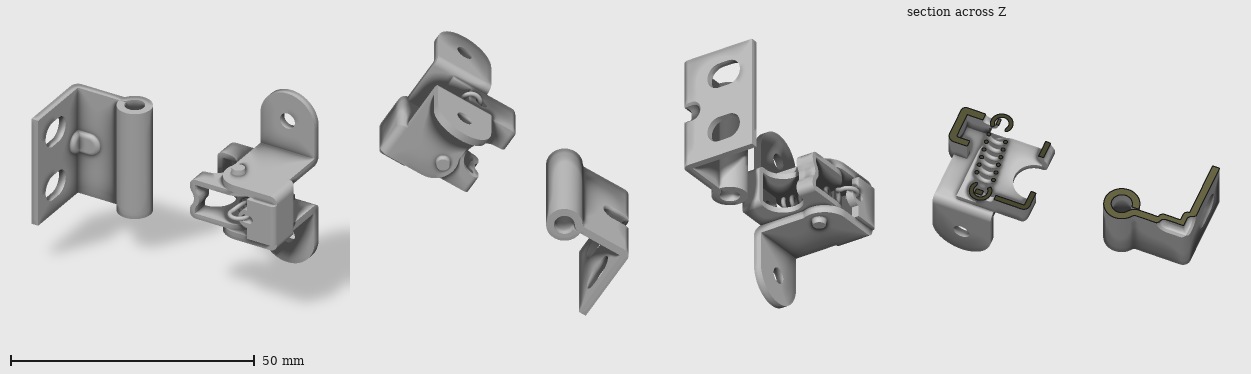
import cadquery as cq
import math


STRIKE_HEIGHT = 24.9
STRIKE_THICK = 1.65
STRIKE_DEPTH = 17.45
STRIKE_INNER_RADIUS = 0.15
EYE_X = 15.3
EYE_Y = 15.8
EYE_RADIUS = 3.75
EYE_BORE_RADIUS = EYE_RADIUS - STRIKE_THICK
EYE_BEND_RADIUS = 1.0
SLOT_LENGTH = 8.0
SLOT_WIDTH = 5.7
SLOT_Y = 7.0
SLOT_Z = 6.35
BEAD_SIDE_Y = 14.95
BEAD_BACK_X = 4.65
BEAD_RADIUS = 2.5
BEAD_HEIGHT = 1.05
BEAD_ROUND = 1.0
DIMPLE_RADIUS = 1.75
DIMPLE_DEPTH = 1.5
DIMPLE_ROUND = 1.0
DIMPLE_CHAMFER = 0.5

BRACKET_THICK = 1.7
EAR_LEFT = 39.95
EAR_WIDTH = 12.95
EAR_RIGHT = EAR_LEFT + EAR_WIDTH
EAR_X = EAR_LEFT + EAR_WIDTH / 2
EAR_TOP = 40.0 / 2
EAR_HOLE_Z = 13.5
EAR_HOLE_DIAMETER = 3.55
EAR_BACK = 26.5
EAR_FRONT = EAR_BACK - BRACKET_THICK
EAR_INNER_RADIUS = 0.1
SIDE_INNER_Z = 4.7
SIDE_OUTER_Z = SIDE_INNER_Z + BRACKET_THICK
SIDE_FRONT = 7.05
LOBE_X = 44.45
LOBE_RADIUS = 4.95
END_RIGHT = 54.6
END_INNER_X = END_RIGHT - BRACKET_THICK
END_BACK = 14.9
END_FOLD_RADIUS = 1.65
LIP_LEFT = 49.95
LIP_THICK = 1.55
FLAP_FRONT = 6.0
FLAP_BACK = FLAP_FRONT + BRACKET_THICK
FLAP_FOLD_RADIUS = 1.05
FLAP_LEFT = 48.05
FLAP_HALF_HEIGHT = 4.65
TONGUE_RADIUS = 2.1
TONGUE_SLOT_LENGTH = 2.8
TONGUE_SLOT_WIDTH = 1.85

PIVOT_X = 42.4
PIVOT_Y = 11.95

CLAW_THICK = 1.2
CLAW_HALF_HEIGHT = 4.6
CLAW_INNER_Z = CLAW_HALF_HEIGHT - CLAW_THICK
CLAW_LEFT = 32.5
CLAW_BACK = 24.9
CLAW_FRONT = 7.55
CLAW_HEEL_RADIUS = 5.8
CLAW_RIGHT = PIVOT_X + CLAW_HEEL_RADIUS
CLAW_FOLD_RADIUS = 1.35
THROAT_RADIUS = 4.25
THROAT_X = 34.8
THROAT_Y = EYE_Y
LIP_WALL_LEFT = 33.45
LIP_WALL_DENT = 0.75
LIP_WALL_STRAIGHT_Z = 2.85
LIP_FOLD_RADIUS = 1.3
BACK_WALL_RIGHT = 43.85
BACK_WALL_BULGE = 0.5
HOOK_HOLE_X = 41.35
HOOK_HOLE_DIAMETER = 2.7

RIVET_HEAD_DIAMETER = 4.1
RIVET_SHANK_DIAMETER = 3.15
RIVET_TIP_DIAMETER = 2.7
RIVET_TIP_Z = 7.65

WIRE_DIAMETER = 0.95
COIL_RADIUS = 1.9
SPRING_REAR = (43.3, 23.9)
SPRING_FRONT = (45.6, 6.95)
COIL_SETBACK = 3.0
COIL_TURNS = 5.75
POINTS_PER_TURN = 12
LOOP_START = 200
LOOP_END = -40
LOOP_STEP = 20


def block(x0, x1, y0, y1, z0, z1):
    """Box between the given limits."""
    return cq.Workplane().box(x1 - x0, y1 - y0, z1 - z0, centered=False).translate((x0, y0, z0))


def upright(radius, x, y, height):
    """Cylinder along Z, centred on the plane of symmetry."""
    return cq.Workplane().center(x, y).circle(radius).extrude(height / 2, both=True)


def bead_planes(inset):
    """Planes on both legs of the bend, `inset` inside the outer faces, with the reach to the corner.

    Each origin is the centre of the bead's round end, x points away from the corner, z inward.
    """
    on_side = cq.Plane((inset, BEAD_SIDE_Y, 0), xDir=(0, -1, 0), normal=(1, 0, 0))
    on_back = cq.Plane((BEAD_BACK_X, STRIKE_DEPTH - inset, 0), xDir=(1, 0, 0), normal=(0, -1, 0))
    return [(on_side, STRIKE_DEPTH - BEAD_SIDE_Y), (on_back, BEAD_BACK_X)]


def bead(plane, reach, radius, height, edge_round):
    """Round-ended bead from its plane inward, with a rounded rim; it runs past the corner."""
    return (
        cq.Workplane(plane)
        .center(-reach / 2, 0)
        .slot2D(reach + 2 * radius, 2 * radius)
        .extrude(height)
        .faces(cq.selectors.DirectionMinMaxSelector(plane.zDir, True))
        .edges()
        .fillet(edge_round)
    )


def dimple_mouth(plane, reach):
    """Chamfer cutter around the opening of a dimple."""
    radius = DIMPLE_RADIUS + DIMPLE_CHAMFER
    return (
        cq.Workplane(plane)
        .center(-reach / 2, 0)
        .slot2D(reach + 2 * radius, 2 * radius)
        .extrude(DIMPLE_CHAMFER, taper=45)
    )


def make_strike_sheet():
    """Bent sheet with a rolled eye; a reverse bend leads from the plate into the eye."""
    inner_y = STRIKE_DEPTH - STRIKE_THICK
    bend_y = STRIKE_DEPTH + EYE_BEND_RADIUS
    center_distance = EYE_RADIUS + EYE_BEND_RADIUS
    lead_angle = math.asin((bend_y - EYE_Y) / center_distance)
    bend_x = EYE_X - center_distance * math.cos(lead_angle)
    bend_outer = EYE_BEND_RADIUS + STRIKE_THICK

    def on_eye(radius):
        return (EYE_X - radius * math.cos(lead_angle), EYE_Y + radius * math.sin(lead_angle))

    def mid_bend(radius):
        half_turn = (math.pi / 2 - lead_angle) / 2
        return (bend_x + radius * math.sin(half_turn), bend_y - radius * math.cos(half_turn))

    sheet = (
        cq.Workplane()
        .moveTo(0, 0)
        .lineTo(0, STRIKE_DEPTH)
        .lineTo(bend_x, STRIKE_DEPTH)
        .threePointArc(mid_bend(EYE_BEND_RADIUS), on_eye(EYE_RADIUS))
        .threePointArc((EYE_X + EYE_RADIUS, EYE_Y), (EYE_X - EYE_RADIUS, EYE_Y))
        .lineTo(EYE_X - EYE_BORE_RADIUS, EYE_Y)
        .threePointArc((EYE_X + EYE_BORE_RADIUS, EYE_Y), on_eye(EYE_BORE_RADIUS))
        .threePointArc(mid_bend(bend_outer), (bend_x, inner_y))
        .lineTo(STRIKE_THICK, inner_y)
        .lineTo(STRIKE_THICK, 0)
        .close()
        .extrude(STRIKE_HEIGHT / 2, both=True)
    )
    outer_corner = cq.selectors.NearestToPointSelector((0, STRIKE_DEPTH, 0))
    sheet = sheet.edges("|Z").edges(outer_corner).fillet(STRIKE_THICK)
    inner_corner = cq.selectors.NearestToPointSelector((STRIKE_THICK, inner_y, 0))
    return sheet.edges("|Z").edges(inner_corner).fillet(STRIKE_INNER_RADIUS)


def make_strike():
    strike = make_strike_sheet()
    slots = (
        cq.Workplane("YZ")
        .pushPoints([(SLOT_Y, -SLOT_Z), (SLOT_Y, SLOT_Z)])
        .slot2D(SLOT_LENGTH, SLOT_WIDTH)
        .extrude(STRIKE_THICK)
    )
    strike = strike.cut(slots)

    half = STRIKE_HEIGHT / 2
    middle = STRIKE_THICK / 2
    inside = block(middle, EYE_X, 0, STRIKE_DEPTH - middle, -half, half)
    for plane, reach in bead_planes(STRIKE_THICK):
        strike = strike.union(bead(plane, reach, BEAD_RADIUS, BEAD_HEIGHT, BEAD_ROUND).intersect(inside))
    for plane, reach in bead_planes(0):
        strike = strike.cut(bead(plane, reach, DIMPLE_RADIUS, DIMPLE_DEPTH, DIMPLE_ROUND))
        strike = strike.cut(dimple_mouth(plane, reach))
    return strike


def make_ear():
    """Upper ear and its side plate, joined by a bend."""
    corner_z = EAR_TOP - EAR_WIDTH / 2
    ear = (
        cq.Workplane("XZ", origin=(0, EAR_BACK, 0))
        .moveTo(EAR_LEFT, SIDE_INNER_Z)
        .lineTo(EAR_LEFT, corner_z)
        .threePointArc((EAR_X, EAR_TOP), (EAR_RIGHT, corner_z))
        .lineTo(EAR_RIGHT, SIDE_INNER_Z)
        .close()
        .extrude(BRACKET_THICK)
    )
    hole = (
        cq.Workplane("XZ", origin=(EAR_X, EAR_BACK, EAR_HOLE_Z))
        .circle(EAR_HOLE_DIAMETER / 2)
        .extrude(BRACKET_THICK)
    )
    lobe_y = SIDE_FRONT + LOBE_RADIUS
    side = (
        block(EAR_LEFT, EAR_RIGHT, lobe_y, EAR_BACK, SIDE_INNER_Z, SIDE_OUTER_Z)
        .union(block(LOBE_X, EAR_RIGHT, SIDE_FRONT, EAR_BACK, SIDE_INNER_Z, SIDE_OUTER_Z))
        .union(
            cq.Workplane(origin=(LOBE_X, lobe_y, SIDE_INNER_Z)).circle(LOBE_RADIUS).extrude(BRACKET_THICK)
        )
    )
    bent = ear.cut(hole).union(side)
    outer_corner = cq.selectors.NearestToPointSelector((EAR_X, EAR_BACK, SIDE_INNER_Z))
    inner_corner = cq.selectors.NearestToPointSelector((EAR_X, EAR_FRONT, SIDE_OUTER_Z))
    bent = bent.edges("|X").edges(outer_corner).fillet(BRACKET_THICK)
    return bent.edges("|X").edges(inner_corner).fillet(EAR_INNER_RADIUS)


def make_folded_end():
    """Right-hand wall with its front flap, back lip and the tongue that holds the spring."""
    shell = block(LIP_LEFT, END_RIGHT, SIDE_FRONT, END_BACK, -SIDE_OUTER_Z, SIDE_OUTER_Z)
    shell = shell.edges(">X and (|Y or >Y)").fillet(END_FOLD_RADIUS)
    hollow = block(
        LIP_LEFT, END_INNER_X, SIDE_FRONT, END_BACK - LIP_THICK, -SIDE_INNER_Z, SIDE_INNER_Z
    )
    beyond_plates = block(LIP_LEFT, EAR_RIGHT, SIDE_FRONT, END_BACK, -SIDE_OUTER_Z, SIDE_OUTER_Z)
    between_plates = block(LIP_LEFT, EAR_RIGHT, SIDE_FRONT, END_BACK, -SIDE_INNER_Z, SIDE_INNER_Z)
    wall = shell.cut(hollow).cut(beyond_plates.cut(between_plates))

    flap = block(FLAP_LEFT, END_RIGHT, FLAP_FRONT, FLAP_BACK, -FLAP_HALF_HEIGHT, FLAP_HALF_HEIGHT)
    flap = flap.edges("|Z and >X and <Y").fillet(FLAP_FOLD_RADIUS)
    front = cq.Workplane("XZ", origin=(FLAP_LEFT, FLAP_BACK, 0))
    tongue = front.circle(TONGUE_RADIUS).extrude(BRACKET_THICK)
    slot = front.slot2D(TONGUE_SLOT_LENGTH, TONGUE_SLOT_WIDTH).extrude(BRACKET_THICK)
    return wall.union(flap).union(tongue).cut(slot)


def make_bracket():
    ear = make_ear()
    holes = upright(RIVET_SHANK_DIAMETER / 2, PIVOT_X, PIVOT_Y, 2 * SIDE_OUTER_Z)
    return ear.union(ear.mirror("XY")).union(make_folded_end()).cut(holes)


def right_of_wavy_wall(left, half_height):
    """Solid lying to the right of the dented end-wall surface."""
    dent = [(left + LIP_WALL_DENT, LIP_WALL_STRAIGHT_Z / 3), (left + LIP_WALL_DENT, -LIP_WALL_STRAIGHT_Z / 3)]
    return (
        cq.Workplane("XZ", origin=(0, THROAT_Y, 0))
        .moveTo(CLAW_RIGHT, half_height)
        .lineTo(left, half_height)
        .lineTo(left, LIP_WALL_STRAIGHT_Z)
        .spline(dent + [(left, -LIP_WALL_STRAIGHT_Z)], tangents=[(0, -1), (0, -1)], includeCurrent=True)
        .lineTo(left, -half_height)
        .lineTo(CLAW_RIGHT, -half_height)
        .close()
        .extrude(THROAT_Y - CLAW_FRONT)
    )


def make_claw():
    top = CLAW_HALF_HEIGHT
    upper = block(CLAW_LEFT, CLAW_RIGHT, THROAT_Y, CLAW_BACK, -top, top)
    upper = upper.faces("<X").edges("not <Y").fillet(CLAW_FOLD_RADIUS)
    upper = upper.cut(
        block(
            CLAW_LEFT + CLAW_THICK, CLAW_RIGHT, THROAT_Y, CLAW_BACK - CLAW_THICK, -CLAW_INNER_Z, CLAW_INNER_Z
        )
    )
    lower = right_of_wavy_wall(LIP_WALL_LEFT, top).edges("|Y and <X").fillet(LIP_FOLD_RADIUS)
    lower = lower.cut(right_of_wavy_wall(LIP_WALL_LEFT + CLAW_THICK, CLAW_INNER_Z))
    heel_y = CLAW_FRONT + CLAW_HEEL_RADIUS
    heel_keep = (
        block(CLAW_LEFT, PIVOT_X, CLAW_FRONT, CLAW_BACK, -top, top)
        .union(block(CLAW_LEFT, CLAW_RIGHT, heel_y, CLAW_BACK, -top, top))
        .union(upright(CLAW_HEEL_RADIUS, PIVOT_X, heel_y, 2 * top))
    )
    throat = upright(THROAT_RADIUS, THROAT_X, THROAT_Y, 2 * top).union(
        block(CLAW_LEFT, THROAT_X, THROAT_Y - THROAT_RADIUS, THROAT_Y + THROAT_RADIUS, -top, top)
    )
    inner = CLAW_INNER_Z
    wall_trim = (
        cq.Workplane("XZ", origin=(0, CLAW_BACK, 0))
        .moveTo(BACK_WALL_RIGHT, inner)
        .threePointArc((BACK_WALL_RIGHT + BACK_WALL_BULGE, 0), (BACK_WALL_RIGHT, -inner))
        .lineTo(CLAW_RIGHT, -inner)
        .lineTo(CLAW_RIGHT, inner)
        .close()
        .extrude(CLAW_THICK)
    )
    hook_hole = (
        cq.Workplane("XZ", origin=(HOOK_HOLE_X, CLAW_BACK, 0))
        .circle(HOOK_HOLE_DIAMETER / 2)
        .extrude(CLAW_THICK)
    )
    pivot_hole = upright(RIVET_HEAD_DIAMETER / 2, PIVOT_X, PIVOT_Y, 2 * top)
    claw = upper.union(lower).intersect(heel_keep)
    return claw.cut(throat).cut(wall_trim).cut(hook_hole).cut(pivot_hole)


def make_rivet(side):
    """Rivet flush with the inside of the claw, with a tapered tip; side is +1 above and -1 below."""
    rivet = (
        cq.Workplane("XZ", origin=(PIVOT_X, PIVOT_Y, 0))
        .moveTo(0, CLAW_INNER_Z)
        .lineTo(RIVET_HEAD_DIAMETER / 2, CLAW_INNER_Z)
        .lineTo(RIVET_HEAD_DIAMETER / 2, CLAW_HALF_HEIGHT)
        .lineTo(RIVET_SHANK_DIAMETER / 2, CLAW_HALF_HEIGHT)
        .lineTo(RIVET_SHANK_DIAMETER / 2, SIDE_OUTER_Z)
        .lineTo(RIVET_TIP_DIAMETER / 2, RIVET_TIP_Z)
        .lineTo(0, RIVET_TIP_Z)
        .close()
        .revolve(360, (0, 0), (0, 1))
    )
    return rivet if side > 0 else rivet.mirror("XY")


def make_spring():
    """Extension spring: an open coil with a hook loop at each end, swept along one curve.

    Local directions: u across the axis in the XY plane, f along the axis to the front, and Z.
    """
    span_x = SPRING_FRONT[0] - SPRING_REAR[0]
    span_y = SPRING_FRONT[1] - SPRING_REAR[1]
    span = math.hypot(span_x, span_y)
    mid_x = (SPRING_FRONT[0] + SPRING_REAR[0]) / 2
    mid_y = (SPRING_FRONT[1] + SPRING_REAR[1]) / 2
    coil_half = span / 2 - COIL_SETBACK

    def place(u, f, z):
        along = (span_x / span, span_y / span)
        return cq.Vector(mid_x + f * along[0] - u * along[1], mid_y + f * along[1] + u * along[0], z)

    half_angle = math.pi * COIL_TURNS
    steps = round(COIL_TURNS * POINTS_PER_TURN)
    coil = []
    for i in range(steps + 1):
        t = 2 * i / steps - 1
        angle = math.pi / 2 + t * half_angle
        coil.append((COIL_RADIUS * math.cos(angle), t * coil_half, COIL_RADIUS * math.sin(angle)))

    loop = []
    for degrees in range(LOOP_START, LOOP_END - 1, -LOOP_STEP):
        angle = math.radians(degrees)
        loop.append((COIL_RADIUS * math.cos(angle), span / 2 + COIL_RADIUS * math.sin(angle), 0))
    rear_loop = [(-u, -f, z) for u, f, z in reversed(loop)]

    path = cq.Edge.makeSpline([place(*p) for p in rear_loop + coil + loop])
    start = path.positionAt(0)
    section = cq.Workplane(cq.Plane(start, normal=path.tangentAt(0))).circle(WIRE_DIAMETER / 2)
    return section.sweep(cq.Workplane(cq.Wire.assembleEdges([path])), isFrenet=True)


strike = make_strike()
bracket = make_bracket()
claw = make_claw()
rivets = [make_rivet(side) for side in (1, -1)]
spring = make_spring()

result = cq.Compound.makeCompound(
    [body.solids().val() for body in (strike, bracket, claw, *rivets, spring)]
)